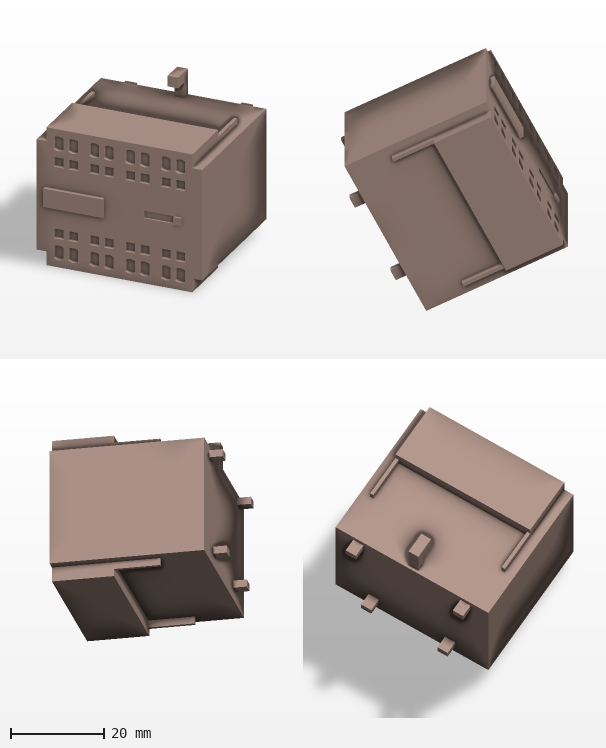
import cadquery as cq


body_width = 38.79
body_depth = 34.0
body_height = 26.1
housing_width = 34.2
housing_depth = 13.65
housing_rise = 3.25
rail_width = 0.8
rail_length = 10.15
rail_rise = housing_rise / 2

pair_count = 4
pair_pitch = 8.37
opening_pitch = 3.4
opening_width = 2.3
opening_depth = 1.0
square_level = 8.45
slot_level = 12.88
slot_side = 2.75
slot_bulge = 0.36

plate_width = 13.9
plate_height = 4.4
plate_thickness = 1.0
plate_center_x = -10.5

track_width = 8.9
track_height = 1.8
track_depth = 0.5
track_right = 14.6
knob_protrusion = 0.5

pin_width = 2.6
pin_height = 1.65
pin_length = 3.05
pin_upper_x = 13.6
pin_upper_z = 11.1
pin_lower_x = 9.7
pin_lower_z = -9.7

hook_width = 2.5
hook_back_gap = 0.6
hook_post_thickness = 1.5
hook_arm_length = 5.1
hook_arm_thickness = 2.5
hook_height = 6.34

body_top = body_height / 2


def block(x_min, y_min, z_min, width, depth, height):
    """Box given by its lowest corner and its sizes along X, Y and Z."""
    return cq.Workplane("XY").box(width, depth, height, centered=False).translate((x_min, y_min, z_min))


def make_body():
    return block(-body_width / 2, 0, -body_top, body_width, body_depth, body_height)


def make_top_housing():
    """Raised housing with a thin rail running back from each of its ends."""
    left = -housing_width / 2
    housing = block(left, 0, body_top, housing_width, housing_depth, housing_rise)
    for rail_left in (left, -left - rail_width):
        rail = block(rail_left, housing_depth, body_top, rail_width, rail_length, rail_rise)
        housing = housing.union(rail)
    return housing


def opening_centers(level):
    """Centres of one row of paired openings on the front face."""
    centers = []
    for pair in range(pair_count):
        pair_x = (pair - (pair_count - 1) / 2) * pair_pitch
        for side in (-1, 1):
            centers.append((pair_x + side * opening_pitch / 2, level))
    return centers


def make_square_opening(x, z):
    return block(x - opening_width / 2, 0, z - opening_width / 2, opening_width, opening_depth, opening_width)


def make_slot_opening(x, z):
    """Upright slot with straight sides and shallow arched ends."""
    half_width = opening_width / 2
    half_side = slot_side / 2
    crown = half_side + slot_bulge
    outline = (
        cq.Workplane("XZ", origin=(x, 0, z))
        .moveTo(-half_width, -half_side)
        .threePointArc((0, -crown), (half_width, -half_side))
        .lineTo(half_width, half_side)
        .threePointArc((0, crown), (-half_width, half_side))
        .close()
    )
    return outline.extrude(-opening_depth)


def cut_openings(part):
    for side in (-1, 1):
        for x, z in opening_centers(side * square_level):
            part = part.cut(make_square_opening(x, z))
        for x, z in opening_centers(side * slot_level):
            part = part.cut(make_slot_opening(x, z))
    return part


def add_label_plate(part):
    left = plate_center_x - plate_width / 2
    plate = block(left, -plate_thickness, -plate_height / 2, plate_width, plate_thickness, plate_height)
    return part.union(plate)


def add_slider(part):
    track_bottom = -track_height / 2
    track = block(track_right - track_width, 0, track_bottom, track_width, track_depth, track_height)
    knob_depth = knob_protrusion + track_depth
    knob_left = track_right - track_height
    knob = block(knob_left, -knob_protrusion, track_bottom, track_height, knob_depth, track_height)
    return part.cut(track).union(knob)


def add_pins(part):
    for pair_x, z in ((pin_upper_x, pin_upper_z), (pin_lower_x, pin_lower_z)):
        for x in (-pair_x, pair_x):
            pin = block(x - pin_width / 2, body_depth, z - pin_height / 2, pin_width, pin_length, pin_height)
            part = part.union(pin)
    return part


def add_hook(part):
    """Post near the back edge with an arm reaching forward from its top."""
    back = body_depth - hook_back_gap
    left = -hook_width / 2
    post = block(left, back - hook_post_thickness, body_top, hook_width, hook_post_thickness, hook_height)
    arm_bottom = body_top + hook_height - hook_arm_thickness
    arm = block(left, back - hook_arm_length, arm_bottom, hook_width, hook_arm_length, hook_arm_thickness)
    return part.union(post).union(arm)


top_housing = make_top_housing()
bottom_housing = top_housing.mirror("XY")
result = make_body().union(top_housing).union(bottom_housing)
result = cut_openings(result)
result = add_label_plate(result)
result = add_slider(result)
result = add_pins(result)
result = add_hook(result)